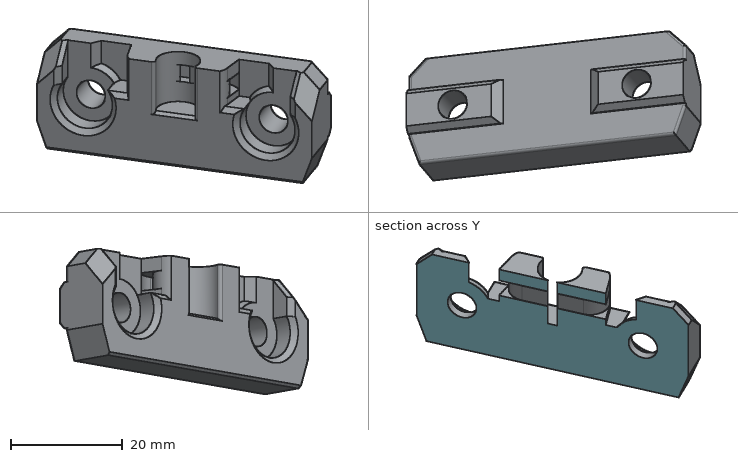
import cadquery as cq
import math

length = 52.0
height = 20.0
body_depth = 9.4
half_length = length / 2
top_chamfer = 3.0
lower_taper_height = 5.4
lower_taper_run = 1.9
back_fillet = 0.5
bottom_chamfer = 0.5
corner_bevel = 4.35
overshoot = 2.6

rib_depth = 1.4
rib_width = 8.4
rib_chamfer = 1.1
rib_inner_x = 8.2
rib_end_run = 1.8

hole_x = 17.25
hole_z = height / 2
hole_radius = 2.7
head_radius = 5.2
head_depth = 4.35
head_chamfer = 1.0
head_rim_radius = 6.25

pocket_depth = 6.05
pocket_floor_z = 12.85
pocket_outer_x = 21.6
pocket_step_x = 15.8
pocket_inner_x = 10.2
pocket_lip = 0.95
pocket_edge_run = 1.25
pocket_bevel_run = 0.95
collar_radius = 5.75

bore_radius = 4.0
bore_floor_z = 10.25
bore_lip_drop = 0.5
bore_mouth_radius = 0.55

channel_inner_radius = 3.6
channel_back_y = 5.95
channel_y = channel_back_y - channel_inner_radius
channel_end_x = 5.9
channel_outer_radius = math.hypot(pocket_inner_x - channel_end_x, pocket_depth - channel_y)
channel_bottom_z = 14.15
channel_height = 3.3


def both_sides(solid):
    """Return a solid together with its mirror image about x = 0."""
    return solid.union(solid.mirror("YZ"))


def make_body():
    half_top = half_length - top_chamfer
    half_bottom = half_length - lower_taper_run
    body = (
        cq.Workplane("XZ")
        .polyline([
            (-half_bottom, 0),
            (half_bottom, 0),
            (half_length, lower_taper_height),
            (half_length, height - top_chamfer),
            (half_top, height),
            (-half_top, height),
            (-half_length, height - top_chamfer),
            (-half_length, lower_taper_height),
        ])
        .close()
        .extrude(-body_depth)
    )
    body = body.faces(">Y").edges("not >Z").fillet(back_fillet)
    return body.faces("<Y").edges("<Z").chamfer(bottom_chamfer)


def make_rib():
    """Left rib: chamfered along its length and sloped at its inner end."""
    root_y = body_depth - back_fillet
    crest_y = body_depth + rib_depth
    half_width = rib_width / 2
    section = (
        cq.Workplane("YZ", origin=(-half_length, 0, height / 2))
        .polyline([
            (root_y, -half_width),
            (crest_y - rib_chamfer, -half_width),
            (crest_y, -half_width + rib_chamfer),
            (crest_y, half_width - rib_chamfer),
            (crest_y - rib_chamfer, half_width),
            (root_y, half_width),
        ])
        .close()
        .extrude(half_length)
    )
    plan = (
        cq.Workplane("XY")
        .polyline([
            (-half_length, root_y),
            (-rib_inner_x, root_y),
            (-rib_inner_x, body_depth),
            (-rib_inner_x - rib_end_run, crest_y),
            (-half_length, crest_y),
        ])
        .close()
        .extrude(height)
    )
    return section.intersect(plan)


def make_corner_bevel():
    """Cutter for the left edge between the front face and the sloped shoulder."""
    reach = corner_bevel + overshoot
    shoulder = cq.Plane(
        origin=(-half_length, 0, height - top_chamfer), xDir=(0, 1, 0), normal=(1, 0, 1)
    )
    return (
        cq.Workplane(shoulder)
        .polyline([
            (reach, overshoot / math.sqrt(2)),
            (-overshoot, -reach / math.sqrt(2)),
            (-overshoot, overshoot / math.sqrt(2)),
        ])
        .close()
        .extrude(2 * top_chamfer, both=True)
    )


def raise_pocket(outline, floor_z, lip_depth, lip_drop):
    """Extrude a plan outline upward from a floor that slopes down at the front."""
    bottom_z = floor_z - lip_drop
    prism = outline.extrude(height - bottom_z + overshoot).translate((0, 0, bottom_z))
    floor = (
        cq.Workplane("YZ", origin=(-half_length, 0, 0))
        .polyline([
            (0, bottom_z),
            (lip_depth, floor_z),
            (body_depth, floor_z),
            (body_depth, bottom_z),
        ])
        .close()
        .extrude(length)
    )
    return prism.cut(floor)


def revolve_about_hole(profile):
    """Revolve (radius, y) points about the axis of the left screw hole."""
    return (
        cq.Workplane("XY", origin=(-hole_x, 0, hole_z))
        .polyline(profile)
        .close()
        .revolve(360, (0, 0, 0), (0, 1, 0))
    )


def make_screw_hole():
    through_y = body_depth + rib_depth
    return revolve_about_hole([
        (0, 0),
        (head_rim_radius, 0),
        (head_radius, head_chamfer),
        (head_radius, head_depth),
        (hole_radius, head_depth),
        (hole_radius, through_y),
        (0, through_y),
    ])


def make_side_pocket():
    """Left pocket; its inner wall runs tangent into the channel's inner arc."""
    to_corner_x = channel_end_x - pocket_inner_x
    to_corner_y = pocket_depth - channel_y
    corner_angle = math.atan2(to_corner_y, to_corner_x)
    tangent_angle = corner_angle + math.acos(channel_inner_radius / channel_outer_radius)
    front_angle = math.pi + math.asin(channel_y / channel_inner_radius)

    def arc_point(angle):
        return (
            -channel_end_x + channel_inner_radius * math.cos(angle),
            channel_y + channel_inner_radius * math.sin(angle),
        )

    outline = (
        cq.Workplane("XY")
        .moveTo(-pocket_outer_x, 0)
        .lineTo(-pocket_outer_x, head_depth)
        .lineTo(-hole_x, head_depth)
        .lineTo(-pocket_step_x, pocket_depth)
        .lineTo(-pocket_inner_x, pocket_depth)
        .lineTo(*arc_point(tangent_angle))
        .threePointArc(arc_point((tangent_angle + front_angle) / 2), arc_point(front_angle))
        .close()
    )
    pocket = raise_pocket(outline, pocket_floor_z, pocket_lip, pocket_lip)
    collar = revolve_about_hole([
        (0, head_depth),
        (head_radius, head_depth),
        (collar_radius, pocket_depth),
        (0, pocket_depth),
    ])
    return pocket.cut(collar)


def make_pocket_edge_chamfers():
    """Cutters for the left pocket's outer edge, along the front face and the bevel."""
    front = (
        cq.Workplane("XY", origin=(-pocket_outer_x, 0, pocket_floor_z))
        .polyline([(0, 0), (-pocket_edge_run, 0), (0, head_chamfer)])
        .close()
        .extrude(height - pocket_floor_z)
    )
    edge_z = height - top_chamfer - corner_bevel + half_length - pocket_outer_x
    edge_plane = cq.Plane(
        origin=(-pocket_outer_x, 0, edge_z), xDir=(1, 0, 0), normal=(0, 1, 1)
    )
    bevel_drop = pocket_bevel_run / math.sqrt(2)
    bevel_leg = math.hypot(pocket_bevel_run, bevel_drop)
    bevel = (
        cq.Workplane(edge_plane)
        .polyline([(0, -bevel_leg), (-pocket_bevel_run, bevel_drop), (0, bevel_leg)])
        .close()
        .extrude(height, both=True)
    )
    return front.union(bevel)


def make_bore():
    center_y = pocket_depth - bore_radius
    center_distance = bore_radius + bore_mouth_radius
    mouth_x = math.sqrt(center_distance**2 - (center_y - bore_mouth_radius) ** 2)
    tangent_ratio = bore_radius / center_distance
    neck_x = mouth_x * tangent_ratio
    neck_y = center_y - (center_y - bore_mouth_radius) * tangent_ratio
    outline = (
        cq.Workplane("XY")
        .moveTo(-mouth_x, 0)
        .radiusArc((-neck_x, neck_y), -bore_mouth_radius)
        .threePointArc((0, pocket_depth), (neck_x, neck_y))
        .radiusArc((mouth_x, 0), -bore_mouth_radius)
        .close()
    )
    return raise_pocket(outline, bore_floor_z, neck_y, bore_lip_drop)


def make_channel():
    def rounded_bar(radius):
        return (
            cq.Workplane("XY", origin=(0, channel_y, channel_bottom_z))
            .slot2D(2 * (channel_end_x + radius), 2 * radius)
            .extrude(channel_height)
        )

    return rounded_bar(channel_outer_radius).cut(rounded_bar(channel_inner_radius))


result = (
    make_body()
    .union(both_sides(make_rib()))
    .cut(both_sides(make_corner_bevel()))
    .cut(both_sides(make_side_pocket()))
    .cut(both_sides(make_pocket_edge_chamfers()))
    .cut(both_sides(make_screw_hole()))
    .cut(make_bore())
    .cut(make_channel())
)